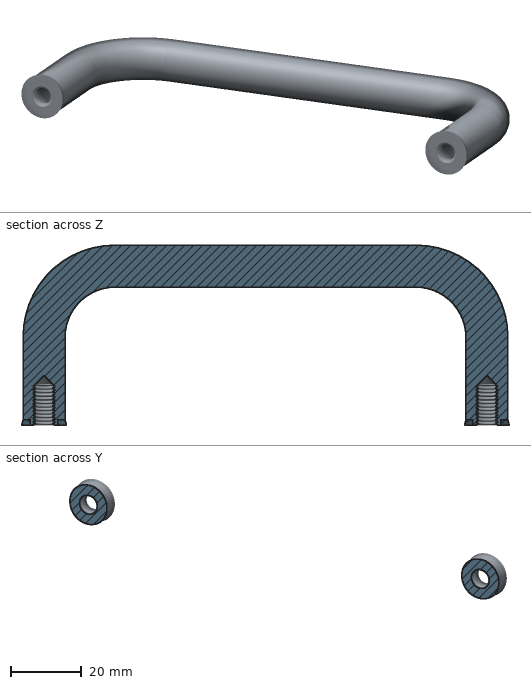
import cadquery as cq

rod_diameter = 12.0
leg_spacing = 125.0
overall_depth = 51.0
bend_radius = 20.0

washer_diameter = 12.8
washer_bore = 8.0
washer_thickness = 1.6

thread_diameter = 6.0
core_diameter = 4.8
thread_pitch = 1.0
thread_turns = 12

rod_radius = rod_diameter / 2
half_spacing = leg_spacing / 2
grip_y = overall_depth - rod_radius
bend_start_y = grip_y - bend_radius
half_grip = half_spacing - bend_radius
leg_positions = (-half_spacing, half_spacing)
thread_radius = thread_diameter / 2
core_radius = core_diameter / 2
groove_flat = thread_pitch / 8
crest_flat = thread_pitch / 4
flank_rise = (thread_pitch - groove_flat - crest_flat) / 2
thread_depth = thread_turns * thread_pitch - flank_rise
drill_tip_height = core_radius


def bent_rod():
    """Round rod bent into a U, both legs running down to the mounting plane."""
    path = (
        cq.Workplane("XY")
        .moveTo(-half_spacing, 0)
        .lineTo(-half_spacing, bend_start_y)
        .radiusArc((-half_grip, grip_y), bend_radius)
        .lineTo(half_grip, grip_y)
        .radiusArc((half_spacing, bend_start_y), bend_radius)
        .lineTo(half_spacing, 0)
    )
    section = cq.Workplane("XZ", origin=(-half_spacing, 0, 0)).circle(rod_radius)
    return section.sweep(path)


def washer_seat(x):
    """Ring of material turned off a leg end, leaving a spigot that fills the washer bore."""
    ring = cq.Workplane("XZ", origin=(x, 0, 0)).circle(washer_diameter / 2).circle(washer_bore / 2)
    return ring.extrude(-washer_thickness)


def threaded_hole(x):
    """Blind hole with ring-shaped thread grooves and a conical drill tip."""
    profile = cq.Workplane("XY", origin=(x, 0, 0))
    for turn in range(thread_turns):
        groove_start = turn * thread_pitch
        groove_end = groove_start + groove_flat
        profile = (
            profile.lineTo(thread_radius, groove_start)
            .lineTo(thread_radius, groove_end)
            .lineTo(core_radius, groove_end + flank_rise)
            .lineTo(core_radius, groove_end + flank_rise + crest_flat)
        )
    profile = profile.lineTo(0, thread_depth + drill_tip_height).close()
    return profile.revolve(360, (0, 0, 0), (0, 1, 0))


def washer(x):
    """Tapered seat ring, as wide as the rod at the top and flared at the mounting plane."""
    profile = (
        cq.Workplane("XY", origin=(x, 0, 0))
        .moveTo(washer_bore / 2, 0)
        .lineTo(washer_diameter / 2, 0)
        .lineTo(rod_radius, washer_thickness)
        .lineTo(washer_bore / 2, washer_thickness)
        .close()
    )
    return profile.revolve(360, (0, 0, 0), (0, 1, 0))


handle = bent_rod()
for leg_x in leg_positions:
    handle = handle.cut(washer_seat(leg_x)).cut(threaded_hole(leg_x))

washers = [washer(leg_x) for leg_x in leg_positions]

result = cq.Compound.makeCompound([handle.val(), *[ring.val() for ring in washers]])